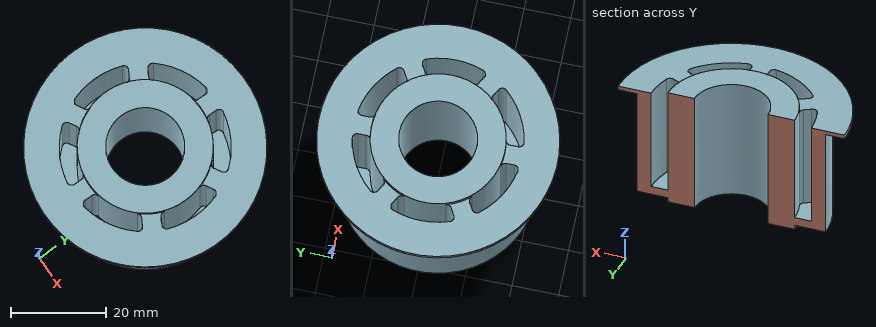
import cadquery as cq

flange_diameter = 51.0
body_diameter = 42.55
hub_diameter = 28.5
bore_diameter = 16.5
total_height = 27.5
hub_projection = 1.0
flange_thickness = 1.0

pocket_count = 6
pocket_outer_diameter = 36.0
spoke_width = 4.1
pocket_corner_radius = 1.0
pocket_floor_thickness = 2.05

body_bottom = hub_projection
flange_top = total_height - hub_projection
pocket_floor = body_bottom + pocket_floor_thickness
pocket_depth = total_height - pocket_floor


def cylinder(diameter, bottom, height):
    return cq.Workplane("XY").workplane(offset=bottom).circle(diameter / 2).extrude(height)


def make_pockets():
    """Annular pockets with rounded corners, split by radial spokes."""
    ring = cylinder(pocket_outer_diameter, pocket_floor, pocket_depth).cut(
        cylinder(hub_diameter, pocket_floor, pocket_depth)
    )
    for index in range(pocket_count // 2):
        spoke_pair = (
            cq.Workplane("XY")
            .workplane(offset=pocket_floor)
            .rect(spoke_width, flange_diameter)
            .extrude(pocket_depth)
            .rotate((0, 0, 0), (0, 0, 1), index * 360 / pocket_count)
        )
        ring = ring.cut(spoke_pair)
    return ring.edges("|Z").fillet(pocket_corner_radius)


body = cylinder(body_diameter, body_bottom, flange_top - body_bottom)
flange = cylinder(flange_diameter, flange_top - flange_thickness, flange_thickness)
hub = cylinder(hub_diameter, 0, total_height)
bore = cylinder(bore_diameter, 0, total_height)

result = body.union(flange).union(hub).cut(make_pockets()).cut(bore)